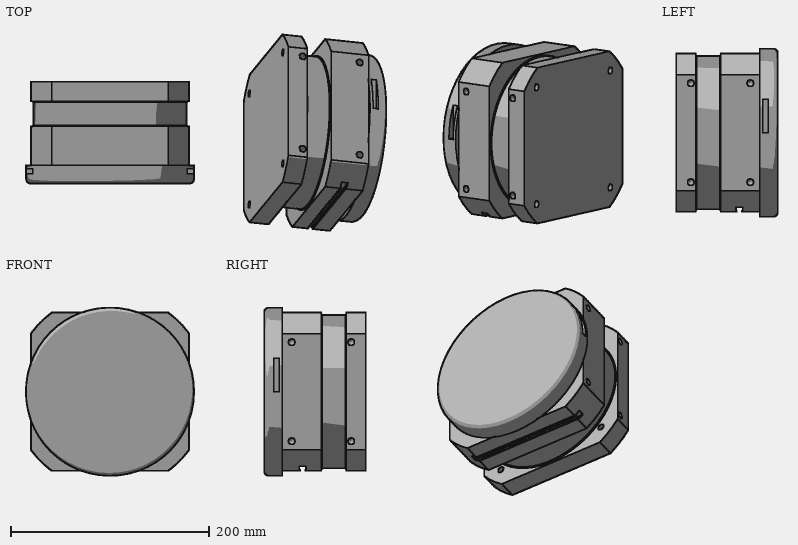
import cadquery as cq
import math

cap_thickness = 18.5
body_thickness = 39.5
neck_length = 25.0
plate_thickness = 20.0
body_front = cap_thickness
body_back = body_front + body_thickness
plate_front = body_back + neck_length

cap_diameter = 170.0
cap_edge_radius = 5.0

block_width = 160.0
corner_diameter = 198.5
half_width = block_width / 2

neck_diameter = 155.0
neck_flare = 1.0

slot_width = 5.5
slot_depth = 7.0
slot_front = 9.8
slot_floor_z = 0.0

side_hole_diameter = 6.65
side_hole_depth = 15.0
side_hole_z = 50.0
drill_tip_angle = 118.0
body_hole_y = body_back - 30.0
plate_hole_y = plate_front + 5.0

bolt_hole_diameter = 6.65
bolt_hole_offset = 60.0

groove_center_y = body_back - 19.0
groove_width = 6.65
groove_mouth_width = 5.0
groove_depth = 4.5
groove_lip = 1.0


def disc(diameter, front, length):
    """Cylinder along +Y starting at the given front position."""
    return cq.Workplane("XZ", origin=(0, front, 0)).circle(diameter / 2).extrude(-length)


def make_block(front, thickness):
    """Square block whose corners are rounded to the corner diameter."""
    square = cq.Workplane("XZ", origin=(0, front, 0)).rect(block_width, block_width).extrude(-thickness)
    return square.intersect(disc(corner_diameter, front, thickness))


def make_cap():
    """Round cap with a rounded front edge and a slot in each side of its rim."""
    cap = disc(cap_diameter, 0, cap_thickness).faces("<Y").edges().fillet(cap_edge_radius)
    slot_bottom_x = cap_diameter / 2 - slot_depth
    slot = cq.Workplane("XY").box(slot_depth, slot_width, cap_diameter / 2, centered=False)
    for start_x in (-cap_diameter / 2, slot_bottom_x):
        cap = cap.cut(slot.translate((start_x, slot_front, slot_floor_z)))
    return cap


def make_neck():
    """Cylindrical neck with a short conical flare where it meets each block."""
    radius = neck_diameter / 2
    profile = [
        (0, body_back),
        (radius + neck_flare, body_back),
        (radius, body_back + neck_flare),
        (radius, plate_front - neck_flare),
        (radius + neck_flare, plate_front),
        (0, plate_front),
    ]
    return cq.Workplane("XY").polyline(profile).close().revolve(360, (0, 0, 0), (0, 1, 0))


def side_hole(side, y, z):
    """Drilled hole with a conical tip, entering from the -X (side = -1) or +X (side = 1) face."""
    radius = side_hole_diameter / 2
    tip_length = radius / math.tan(math.radians(drill_tip_angle / 2))
    profile = [
        (0, 0),
        (0, radius),
        (-side * side_hole_depth, radius),
        (-side * (side_hole_depth + tip_length), 0),
    ]
    drill = cq.Workplane("XY").polyline(profile).close().revolve(360, (0, 0, 0), (1, 0, 0))
    return drill.translate((side * half_width, y, z))


def cut_side_holes(part):
    """Drill the holes in both sides of the body and the back plate."""
    for side in (-1, 1):
        for y in (body_hole_y, plate_hole_y):
            for z in (-side_hole_z, side_hole_z):
                part = part.cut(side_hole(side, y, z))
    return part


def cut_bolt_holes(part):
    """Cut the four corner holes through the back plate."""
    spacing = 2 * bolt_hole_offset
    holes = (
        cq.Workplane("XZ", origin=(0, plate_front, 0))
        .rect(spacing, spacing, forConstruction=True)
        .vertices()
        .circle(bolt_hole_diameter / 2)
        .extrude(-plate_thickness)
    )
    return part.cut(holes)


def cut_groove(part):
    """Cut the undercut slot with its narrower mouth through the bottom of the body."""
    bottom = cq.Workplane("XY", origin=(0, groove_center_y, -half_width))
    mouth = bottom.rect(block_width, groove_mouth_width).extrude(groove_lip)
    chamber = bottom.workplane(offset=groove_lip).rect(block_width, groove_width)
    return part.cut(mouth).cut(chamber.extrude(groove_depth - groove_lip))


result = make_cap()
result = result.union(make_block(body_front, body_thickness))
result = result.union(make_neck())
result = result.union(make_block(plate_front, plate_thickness))
result = cut_side_holes(result)
result = cut_bolt_holes(result)
result = cut_groove(result)